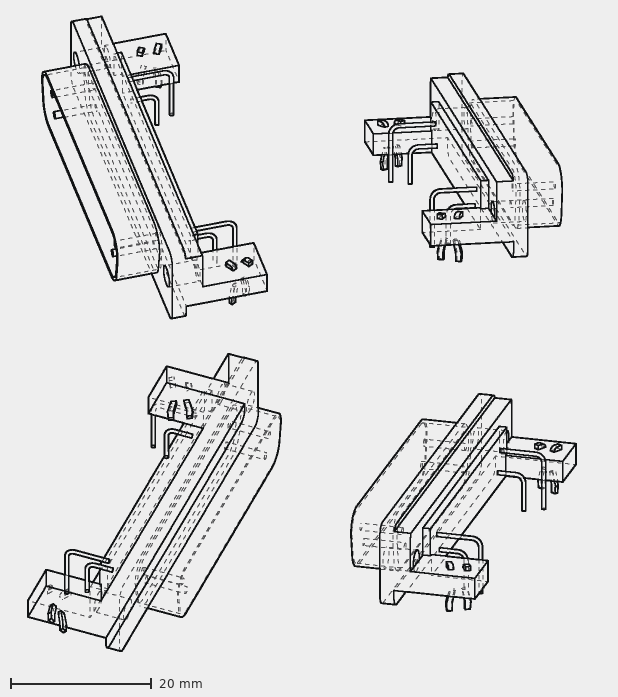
import cadquery as cq
import math


length = 53.1
flange_top = 6.1
flange_bottom = -6.3
flange_thickness = 2.05
corner_radius = 1.5
body_top = 5.3
body_bottom = -3.65
body_back = 4.5

insert_half_width = 20.0
insert_top = 3.65
insert_back = 5.65

foot_inner_x = 19.55
foot_top = -0.5
foot_back = 14.0

hole_x = 23.5
hole_diameter = 3.1

shell_half_width = 19.9
shell_half_height = 4.6
shell_depth = 6.15
shell_radius = 3.1
shell_wall = 0.5
recess_depth = 0.5
shell_slope = math.radians(10)

contact_z = 1.45
contacts = [(16.55, contact_z, 12.05), (15.2, -contact_z, 9.5)]
pin_diameter = 1.0
pin_length = 5.65
tail_diameter = 0.6
bend_radius = 1.2
tail_bottom = -6.8

clip_angle = 30
clip_y = 10.7
clip_stagger = 0.5
clip_spacing = 2.25
clip_thickness = 0.75
clip_half_width = 0.75
clip_top = 0.15
clip_nose_radius = 0.75
leg_width = 0.55
leg_root = -0.6
leg_tip = -0.15
barb_reach = 0.1
barb_z = -5.65


def box(x0, x1, y0, y1, z0, z1):
    """Axis-aligned block between two corners."""
    return cq.Workplane("XY").box(x1 - x0, y1 - y0, z1 - z0, centered=False).translate((x0, y0, z0))


def both_ends(shape):
    """A shape together with its mirror image at the other end of the connector."""
    return shape.union(shape.mirror("YZ"))


def flange_block(depth):
    """Rounded flange outline extruded backward from the front face."""
    block = box(-length / 2, length / 2, 0, depth, flange_bottom, flange_top)
    return block.edges("|Y").fillet(corner_radius)


def d_prism(inset, depth):
    """D-shaped prism reaching forward from the flange face, its outline moved inward by the inset."""
    radius = shell_radius - inset
    half_height = shell_half_height - inset
    arc_x = shell_half_width - shell_radius
    corner_top = arc_x + radius * (1 + math.sin(shell_slope)) / math.cos(shell_slope)
    corner_bottom = corner_top - 2 * half_height * math.tan(shell_slope)
    outline = [
        (-corner_top, half_height),
        (corner_top, half_height),
        (corner_bottom, -half_height),
        (-corner_bottom, -half_height),
    ]
    prism = cq.Workplane("XZ").polyline(outline).close().extrude(depth)
    return prism.edges("|Y").fillet(radius)


def make_housing():
    """Flange, lower body block, rear insert, feet and screw holes."""
    body_limits = box(-length / 2, length / 2, 0, body_back, body_bottom, body_top)
    housing = flange_block(flange_thickness).union(flange_block(body_back).intersect(body_limits))
    hole = cq.Workplane("XZ").center(hole_x, 0).circle(hole_diameter / 2).extrude(-body_back)
    housing = housing.cut(both_ends(hole))
    insert = box(-insert_half_width, insert_half_width, body_back, insert_back, body_bottom, insert_top)
    foot = box(foot_inner_x, length / 2, body_back, foot_back, body_bottom, foot_top)
    return housing.union(insert).union(both_ends(foot))


def add_shell(housing):
    """Thin-walled shell, open at the front, its cavity sunk a little into the flange."""
    cavity = d_prism(shell_wall, shell_depth + recess_depth).translate((0, recess_depth, 0))
    return housing.union(d_prism(0, shell_depth)).cut(cavity)


def make_contact(x, z, tail_y):
    """Straight pin in front and a tail bent down behind the insert."""
    rear_plane = cq.Workplane("XZ", origin=(x, body_back, z))
    pin = rear_plane.circle(pin_diameter / 2).extrude(body_back + pin_length)
    bend_start = tail_y - bend_radius
    bend_mid_y = bend_start + bend_radius * math.sin(math.pi / 4)
    bend_mid_z = z - bend_radius * (1 - math.cos(math.pi / 4))
    path = (
        cq.Workplane("YZ", origin=(x, 0, 0))
        .moveTo(body_back, z)
        .lineTo(bend_start, z)
        .threePointArc((bend_mid_y, bend_mid_z), (tail_y, z - bend_radius))
        .lineTo(tail_y, tail_bottom)
    )
    tail = cq.Workplane("XZ", origin=(x, body_back, z)).circle(tail_diameter / 2).sweep(path)
    return pin.union(tail)


def make_clip():
    """Clip on its own axis: a round-nosed head above the foot, a barbed leg splaying out below."""
    head = (
        cq.Workplane("XZ", origin=(0, clip_thickness / 2, 0))
        .moveTo(-clip_half_width, clip_top)
        .lineTo(clip_half_width - clip_nose_radius, clip_top)
        .radiusArc((clip_half_width, clip_top - clip_nose_radius), clip_nose_radius)
        .lineTo(clip_half_width, body_bottom)
        .lineTo(-clip_half_width, body_bottom)
        .close()
        .extrude(clip_thickness)
    )
    leg = (
        cq.Workplane("YZ", origin=(clip_half_width - leg_width, 0, 0))
        .moveTo(leg_root, foot_top)
        .lineTo(leg_root, body_bottom)
        .lineTo(leg_tip, barb_z)
        .lineTo(leg_tip, tail_bottom)
        .lineTo(leg_tip + clip_thickness, tail_bottom)
        .lineTo(leg_tip + clip_thickness + barb_reach, barb_z)
        .lineTo(leg_root + clip_thickness, body_bottom)
        .lineTo(leg_root + clip_thickness, foot_top)
        .close()
        .extrude(leg_width)
    )
    return head.union(leg)


def make_clip_pair():
    """Two clips facing opposite ways, turned about the foot's vertical axis."""
    rear = make_clip().translate((-clip_stagger, clip_spacing / 2, 0))
    front = rear.rotate((0, 0, 0), (0, 0, 1), 180)
    pair = rear.union(front).rotate((0, 0, 0), (0, 0, 1), -clip_angle)
    return pair.translate((-hole_x, clip_y, 0))


result = add_shell(make_housing())
for contact in contacts:
    result = result.union(both_ends(make_contact(*contact)))
result = result.union(both_ends(make_clip_pair()))